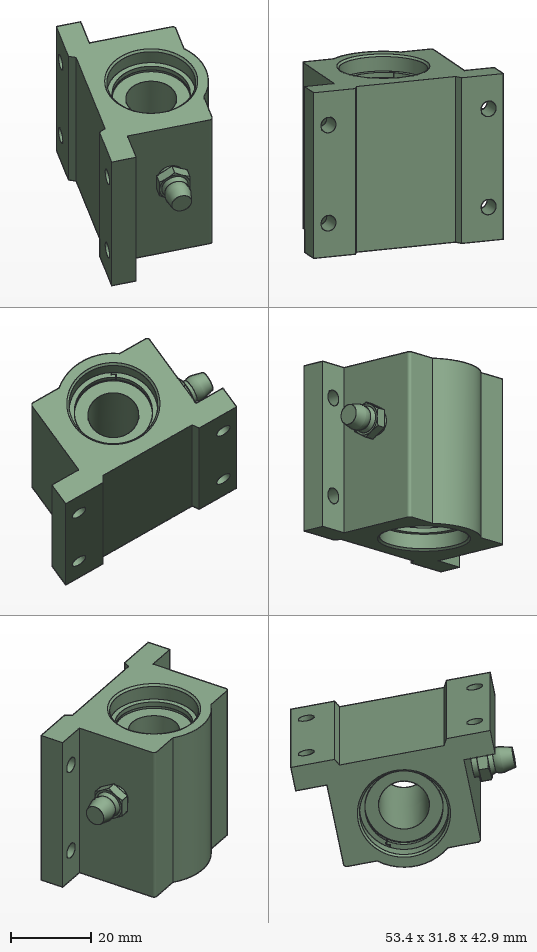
import cadquery as cq
import math


overall_length = 53.35

height = 42.9
base_width = 50.8
base_y = -17.45
base_thickness = 6.35
body_width = 34.9
body_top_y = 11.1
body_fillet = 0.8
boss_radius = 14.3
bore_radius = 11.1
bore_chamfer = 0.55

relief_mouth_width = 28.5
relief_floor_width = 26.55
relief_depth = 1.7

mount_hole_diameter = 4.0
mount_spacing_x = 42.9
mount_spacing_z = 25.4

bushing_length = 31.8
shaft_radius = 6.35
end_recess_depth = 0.6

ring_thickness = 1.3
ring_inner_radius = 9.75
split_width = 0.15
split_step_radius = 10.65
split_inner_angle = 53.5
split_outer_angle = 60.0

nipple_z = 4.95
stem_radius = 3.2
stem_length = 1.55
hex_across_flats = 7.95
hex_length = 2.7
hex_bevel = 0.25
collar_radius = 3.4
neck_length = 1.3
head_radius = 3.3
head_center_offset = 1.55
cone_length = 3.0
tip_radius = 2.55
nipple_tip_x = overall_length - base_width / 2


def polar_point(radius, angle):
    """Point in the XY plane at an angle in degrees from +X."""
    turn = math.radians(angle)
    return (radius * math.cos(turn), radius * math.sin(turn))


def make_housing():
    base = (
        cq.Workplane("XY")
        .box(base_width, base_thickness, height)
        .translate((0, base_y + base_thickness / 2, 0))
    )
    body_depth = body_top_y - base_y
    body = (
        cq.Workplane("XY")
        .box(body_width, body_depth, height)
        .translate((0, base_y + body_depth / 2, 0))
        .edges("|Z and >Y")
        .fillet(body_fillet)
    )
    boss = cq.Workplane("XY").circle(boss_radius).extrude(height / 2, both=True)
    housing = base.union(body).union(boss)

    relief = (
        cq.Workplane("XY")
        .moveTo(-relief_mouth_width / 2, base_y)
        .lineTo(-relief_floor_width / 2, base_y + relief_depth)
        .lineTo(relief_floor_width / 2, base_y + relief_depth)
        .lineTo(relief_mouth_width / 2, base_y)
        .close()
        .extrude(height / 2, both=True)
    )
    mount_holes = (
        cq.Workplane("XZ", origin=(0, base_y, 0))
        .rarray(mount_spacing_x, mount_spacing_z, 2, 2)
        .circle(mount_hole_diameter / 2)
        .extrude(-base_thickness)
    )
    mouth_radius = bore_radius + bore_chamfer
    chamfer_z = height / 2 - bore_chamfer
    bore = (
        cq.Workplane("XZ")
        .moveTo(0, -height / 2)
        .lineTo(mouth_radius, -height / 2)
        .lineTo(bore_radius, -chamfer_z)
        .lineTo(bore_radius, chamfer_z)
        .lineTo(mouth_radius, height / 2)
        .lineTo(0, height / 2)
        .close()
        .revolve(360, (0, 0, 0), (0, 1, 0))
    )
    return housing.cut(relief).cut(mount_holes).cut(bore)


def make_bushing():
    """Sleeve with a shallow recess in each end face."""
    face_z = bushing_length / 2 - end_recess_depth
    bushing = (
        cq.Workplane("XY")
        .circle(bore_radius)
        .circle(shaft_radius)
        .extrude(bushing_length / 2, both=True)
    )
    recess = (
        cq.Workplane("XY")
        .workplane(offset=face_z)
        .circle(ring_inner_radius)
        .extrude(end_recess_depth)
    )
    return bushing.cut(recess).cut(recess.mirror("XY"))


def make_sector(inner_radius, outer_radius, start_angle, end_angle):
    """Slice of a ring, as thick as the retaining ring, standing on the XY plane."""
    mid_angle = (start_angle + end_angle) / 2
    return (
        cq.Workplane("XY")
        .moveTo(*polar_point(inner_radius, start_angle))
        .lineTo(*polar_point(outer_radius, start_angle))
        .threePointArc(polar_point(outer_radius, mid_angle), polar_point(outer_radius, end_angle))
        .lineTo(*polar_point(inner_radius, end_angle))
        .threePointArc(polar_point(inner_radius, mid_angle), polar_point(inner_radius, start_angle))
        .close()
        .extrude(ring_thickness)
    )


def make_upper_ring():
    """Flat ring with a narrow stepped split through it."""
    ring = (
        cq.Workplane("XY")
        .circle(bore_radius)
        .circle(ring_inner_radius)
        .extrude(ring_thickness)
    )
    half_gap_angle = math.degrees(split_width / 2 / split_step_radius)
    overshoot = 0.55
    split = (
        make_sector(
            ring_inner_radius - overshoot,
            split_step_radius,
            split_inner_angle - half_gap_angle,
            split_inner_angle + half_gap_angle,
        )
        .union(
            make_sector(
                split_step_radius - split_width,
                split_step_radius,
                split_inner_angle - half_gap_angle,
                split_outer_angle + half_gap_angle,
            )
        )
        .union(
            make_sector(
                split_step_radius - split_width,
                bore_radius + overshoot,
                split_outer_angle - half_gap_angle,
                split_outer_angle + half_gap_angle,
            )
        )
    )
    return ring.cut(split).translate((0, 0, bushing_length / 2))


def make_nipple():
    """Grease nipple built along +X from the side of the body, then moved to its height."""
    face_x = body_width / 2
    hex_start_x = face_x + stem_length
    hex_end_x = hex_start_x + hex_length
    neck_x = hex_end_x + neck_length
    head_center_x = neck_x + head_center_offset
    cone_start_x = nipple_tip_x - cone_length

    def head_height(x):
        return math.sqrt(head_radius**2 - (x - head_center_x) ** 2)

    stem = cq.Workplane("YZ", origin=(face_x, 0, 0)).circle(stem_radius).extrude(stem_length)

    corner_diameter = hex_across_flats / math.cos(math.pi / 6)
    hexagon = (
        cq.Workplane("YZ", origin=(hex_start_x, 0, 0))
        .polygon(6, corner_diameter)
        .extrude(hex_length)
        .rotate((0, 0, 0), (1, 0, 0), 90)
    )
    bevel_envelope = (
        cq.Workplane("XY")
        .moveTo(hex_start_x, 0)
        .lineTo(hex_start_x, corner_diameter / 2)
        .lineTo(hex_end_x - hex_bevel, corner_diameter / 2)
        .lineTo(hex_end_x, hex_across_flats / 2)
        .lineTo(hex_end_x, 0)
        .close()
        .revolve(360, (0, 0, 0), (1, 0, 0))
    )

    head = (
        cq.Workplane("XY")
        .moveTo(hex_end_x, 0)
        .lineTo(hex_end_x, collar_radius)
        .lineTo(neck_x, head_height(neck_x))
        .threePointArc((head_center_x, head_radius), (cone_start_x, head_height(cone_start_x)))
        .lineTo(nipple_tip_x, tip_radius)
        .lineTo(nipple_tip_x, 0)
        .close()
        .revolve(360, (0, 0, 0), (1, 0, 0))
    )
    nipple = stem.union(hexagon.intersect(bevel_envelope)).union(head)
    return nipple.translate((0, 0, nipple_z))


housing = make_housing()
bushing = make_bushing()
nipple = make_nipple()
upper_ring = make_upper_ring()
rings = [upper_ring.rotate((0, 0, 0), (0, 1, 0), turn) for turn in (0, 180)]

result = cq.Compound.makeCompound(
    [housing.val(), bushing.val(), nipple.val(), *[ring.val() for ring in rings]]
)